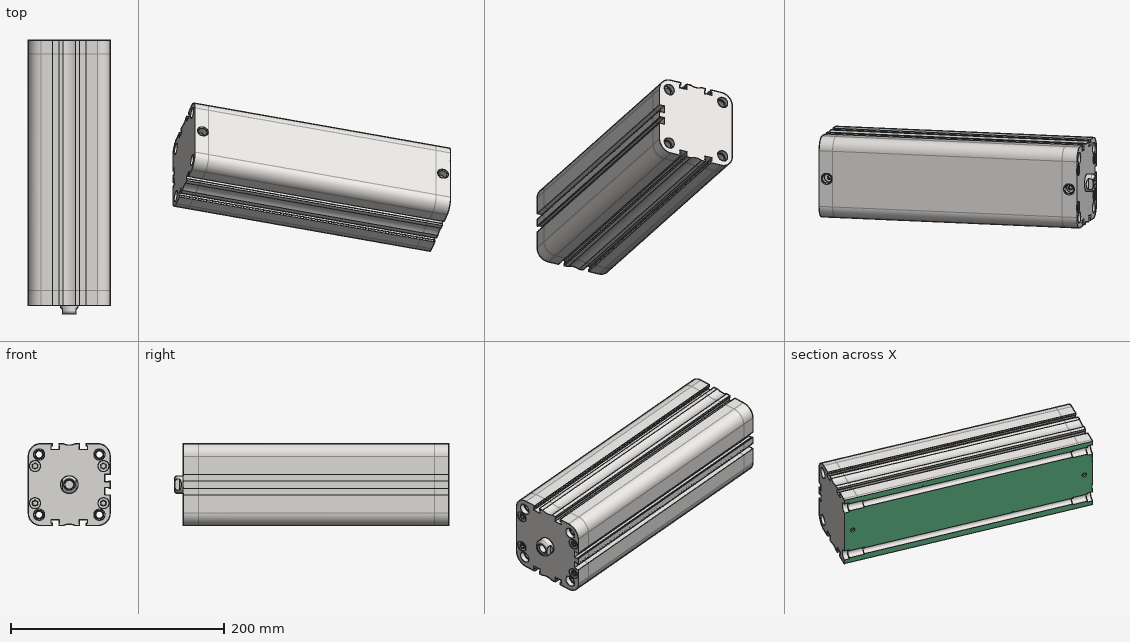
import cadquery as cq

WIDTH = 77.0
HALF_WIDTH = WIDTH / 2
BODY_LENGTH = 249.0
CORNER_RADIUS = 12.0
FRONT_CAP_LENGTH = 14.2
REAR_CAP_LENGTH = 13.2
TUBE_LENGTH = BODY_LENGTH - FRONT_CAP_LENGTH - REAR_CAP_LENGTH

SLOT_MOUTH_INNER = 9.8
SLOT_MOUTH_OUTER = 15.9
SLOT_DEPTH = 5.5
SLOT_LIP = 2.4
SLOT_UNDERCUT_INNER = 0.4
SLOT_UNDERCUT_OUTER = 1.1

GROOVE_HALF_WIDTH = 5.8
GROOVE_DEPTH = 1.35

SIDE_SLOT_OUTER = 9.7
SIDE_SLOT_DEPTH = 5.0
RAIL_HALF_WIDTH = 2.7
RAIL_HEAD_HALF_WIDTH = 3.6
RAIL_HEAD_THICKNESS = 1.2

MOUNT_OFFSET = 28.25
MOUNT_DIAMETER = 6.65
MOUNT_BORE_DIAMETER = 8.05
MOUNT_BORE_DEPTH = 20.0
MOUNT_MOUTH_DIAMETER = 10.5
MOUNT_MOUTH_DEPTH = 5.0

SCREW_X = 32.1
SCREW_Z = 17.4
SCREW_RECESS_DIAMETER = 10.3
SCREW_RECESS_DEPTH = 0.5
SOCKET_DIAMETER = 5.6
SOCKET_LOBES = 6
SOCKET_SCALLOP_DIAMETER = 1.6
SOCKET_SCALLOP_OFFSET = 2.9
SOCKET_DEPTH = 3.0

PORT_INSET = 7.5
PORT_MOUTH_DIAMETER = 10.5
PORT_DIAMETER = 8.57
PORT_DEPTH = 8.0
PASSAGE_DIAMETER = 4.0
PASSAGE_SHIFT = 0.8
PASSAGE_DEPTH = 12.0

ROD_DIAMETER = 16.5
ROD_LENGTH = 8.0
ROD_TIP_DIAMETER = 12.0
ROD_TIP_RADIUS = (ROD_DIAMETER - ROD_TIP_DIAMETER) / 2
ROD_FLAT_WIDTH = 13.0
ROD_FLAT_LENGTH = 4.7
ROD_THREAD_DIAMETER = 8.38
ROD_THREAD_MOUTH = 10.5
ROD_THREAD_DEPTH = 20.0


def end_plane(y):
    """XZ plane at the given Y, with its normal pointing to +Y and local Y along -Z."""
    return cq.Plane(origin=(0, y, 0), xDir=(1, 0, 0), normal=(0, 1, 0))


def cylinder_y(diameter, start, length):
    return cq.Workplane(end_plane(start)).circle(diameter / 2).extrude(length)


def cone(wide, narrow, base, direction):
    """45-degree countersink that narrows along the given direction."""
    height = (wide - narrow) / 2
    solid = cq.Solid.makeCone(wide / 2, narrow / 2, height, cq.Vector(*base), cq.Vector(*direction))
    return cq.Workplane(obj=solid)


def long_prism(outline):
    return outline.close().extrude(BODY_LENGTH)


def sensor_slot(side):
    """Top-face slot with an undercut on both sides of its mouth."""
    mouth_in = SLOT_MOUTH_INNER
    mouth_out = SLOT_MOUTH_OUTER
    floor_in = SLOT_MOUTH_INNER - SLOT_UNDERCUT_INNER
    floor_out = SLOT_MOUTH_OUTER + SLOT_UNDERCUT_OUTER
    lip = HALF_WIDTH - SLOT_LIP
    floor = HALF_WIDTH - SLOT_DEPTH
    points = [
        (mouth_in, HALF_WIDTH), (mouth_out, HALF_WIDTH), (mouth_out, lip), (floor_out, lip),
        (floor_out, floor), (floor_in, floor), (floor_in, lip), (mouth_in, lip),
    ]
    return long_prism(cq.Workplane(end_plane(0)).polyline([(side * x, -z) for x, z in points]))


def middle_groove():
    outline = (
        cq.Workplane(end_plane(0))
        .moveTo(-GROOVE_HALF_WIDTH, -HALF_WIDTH)
        .threePointArc((0, GROOVE_DEPTH - HALF_WIDTH), (GROOVE_HALF_WIDTH, -HALF_WIDTH))
    )
    return long_prism(outline)


def side_slot(side):
    """Slot on the +X face beside the T-shaped rail."""
    floor = HALF_WIDTH - SIDE_SLOT_DEPTH
    head = HALF_WIDTH - RAIL_HEAD_THICKNESS
    points = [
        (HALF_WIDTH, SIDE_SLOT_OUTER), (floor, SIDE_SLOT_OUTER), (floor, RAIL_HALF_WIDTH),
        (head, RAIL_HALF_WIDTH), (head, RAIL_HEAD_HALF_WIDTH), (HALF_WIDTH, RAIL_HEAD_HALF_WIDTH),
    ]
    return long_prism(cq.Workplane(end_plane(0)).polyline([(x, side * z) for x, z in points]))


def profile_cuts():
    top = middle_groove().union(sensor_slot(1)).union(sensor_slot(-1))
    bottom = top.mirror("XY")
    return top.union(bottom).union(side_slot(1)).union(side_slot(-1))


def section(length, start):
    """One stretch of the body along Y: a rounded square with all its slots and grooves."""
    square = cq.Workplane(end_plane(start)).rect(WIDTH, WIDTH).extrude(length)
    return square.edges("|Y").fillet(CORNER_RADIUS).cut(profile_cuts())


def mount_hole():
    hole = cylinder_y(MOUNT_DIAMETER, 0, BODY_LENGTH)
    for diameter, depth in (
        (MOUNT_MOUTH_DIAMETER, MOUNT_MOUTH_DEPTH),
        (MOUNT_BORE_DIAMETER, MOUNT_BORE_DEPTH),
    ):
        hole = hole.union(cylinder_y(diameter, 0, depth))
        hole = hole.union(cylinder_y(diameter, BODY_LENGTH - depth, depth))
    return hole


def screw_recess():
    """Shallow round recess over a screw head, plus the six-lobe socket in the head."""
    depth = SCREW_RECESS_DEPTH + SOCKET_DEPTH
    scallops = (
        cq.Workplane(end_plane(0))
        .polarArray(SOCKET_SCALLOP_OFFSET, 0, 360, SOCKET_LOBES)
        .circle(SOCKET_SCALLOP_DIAMETER / 2)
        .extrude(depth)
    )
    socket = cylinder_y(SOCKET_DIAMETER, 0, depth).cut(scallops)
    return socket.union(cylinder_y(SCREW_RECESS_DIAMETER, 0, SCREW_RECESS_DEPTH))


def port(y, toward_middle):
    """Countersunk port with a small passage set toward the middle of the body."""
    face = cq.Workplane("YZ", origin=(-HALF_WIDTH, y, 0))
    bore = face.circle(PORT_DIAMETER / 2).extrude(PORT_DEPTH)
    passage = (
        face.center(toward_middle * PASSAGE_SHIFT, 0).circle(PASSAGE_DIAMETER / 2).extrude(PASSAGE_DEPTH)
    )
    mouth = cone(PORT_MOUTH_DIAMETER, PORT_DIAMETER, (-HALF_WIDTH, y, 0), (1, 0, 0))
    return mouth.union(bore).union(passage)


def rod():
    """Rod end with a rounded tip and two wrench flats with 45-degree run-outs."""
    radius = ROD_DIAMETER / 2
    shaft = cylinder_y(ROD_DIAMETER, -ROD_LENGTH, ROD_LENGTH).faces("<Y").edges().fillet(ROD_TIP_RADIUS)
    flat = ROD_FLAT_WIDTH / 2
    run_out = radius - flat
    flat_end = ROD_FLAT_LENGTH - ROD_LENGTH
    for side in (1, -1):
        points = [
            (flat, -ROD_LENGTH), (radius, -ROD_LENGTH), (radius, flat_end + run_out), (flat, flat_end),
        ]
        cutter = (
            cq.Workplane("XY")
            .polyline([(side * x, y) for x, y in points])
            .close()
            .extrude(radius, both=True)
        )
        shaft = shaft.cut(cutter)
    return shaft


def thread_bore():
    """Blind bore in the rod end with a 45-degree countersink."""
    mouth = cone(ROD_THREAD_MOUTH, ROD_THREAD_DIAMETER, (0, -ROD_LENGTH, 0), (0, 1, 0))
    return mouth.union(cylinder_y(ROD_THREAD_DIAMETER, -ROD_LENGTH, ROD_THREAD_DEPTH))


front_cap = section(FRONT_CAP_LENGTH, 0)
tube = section(TUBE_LENGTH, FRONT_CAP_LENGTH)
rear_cap = section(REAR_CAP_LENGTH, BODY_LENGTH - REAR_CAP_LENGTH)
body = front_cap.union(tube, clean=False).union(rear_cap, clean=False)
body = body.union(rod(), clean=False)

cutters = [port(PORT_INSET, 1), port(BODY_LENGTH - PORT_INSET, -1), thread_bore()]
for x_side in (1, -1):
    for z_side in (1, -1):
        cutters.append(mount_hole().translate((x_side * MOUNT_OFFSET, 0, z_side * MOUNT_OFFSET)))
        cutters.append(screw_recess().translate((x_side * SCREW_X, 0, z_side * SCREW_Z)))

for cutter in cutters:
    body = body.cut(cutter, clean=False)

result = body